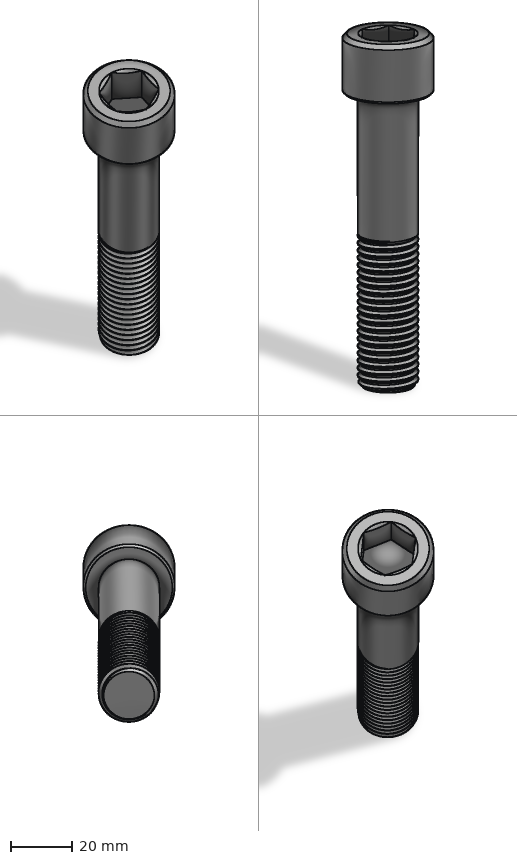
import cadquery as cq
import math

NOMINAL_DIAMETER = 20.0
SHANK_LENGTH = 100.0
THREAD_LENGTH = 52.0
PITCH = 2.5
POINT_CHAMFER = 1.7

HEAD_DIAMETER = 1.5 * NOMINAL_DIAMETER
HEAD_HEIGHT = NOMINAL_DIAMETER
HEAD_TOP_CHAMFER = 1.5
HEAD_BOTTOM_CHAMFER = 0.8

SOCKET_ACROSS_FLATS = 17.0
SOCKET_DEPTH = 13.0
SOCKET_LEAD_IN_ANGLE = 30.0

THREAD_ANGLE = 60.0
THREAD_DEPTH = 5 / 8 * PITCH * math.cos(math.radians(THREAD_ANGLE / 2))
ROOT_FLAT = PITCH / 4
GROOVE_OVERHANG = 0.2

shank_radius = NOMINAL_DIAMETER / 2
root_radius = shank_radius - THREAD_DEPTH
point_z = -SHANK_LENGTH
thread_top_z = point_z + THREAD_LENGTH


def revolve_about_z(outline):
    """Revolve a closed (radius, z) outline about Z, with the surface seam on the -X side."""
    solid = cq.Workplane("XZ").polyline(outline).close().revolve(360, (0, 0), (0, 1))
    return solid.rotate((0, 0, 0), (0, 0, 1), 180)


def make_head():
    """Cylindrical head with a large top chamfer and a small bottom one."""
    radius = HEAD_DIAMETER / 2
    return revolve_about_z([
        (0, 0),
        (radius - HEAD_BOTTOM_CHAMFER, 0),
        (radius, HEAD_BOTTOM_CHAMFER),
        (radius, HEAD_HEIGHT - HEAD_TOP_CHAMFER),
        (radius - HEAD_TOP_CHAMFER, HEAD_HEIGHT),
        (0, HEAD_HEIGHT),
    ])


def make_socket():
    """Hexagonal recess with corners on +Y and -Y, and a lead-in cone that ends at the corners."""
    corner_radius = SOCKET_ACROSS_FLATS / 2 / math.cos(math.radians(30))
    hexagon = (
        cq.Workplane("XY", origin=(0, 0, HEAD_HEIGHT))
        .polygon(6, 2 * corner_radius)
        .extrude(-SOCKET_DEPTH)
        .rotate((0, 0, 0), (0, 0, 1), 90)
    )
    cone_depth = corner_radius * math.tan(math.radians(SOCKET_LEAD_IN_ANGLE))
    lead_in = revolve_about_z([
        (0, HEAD_HEIGHT),
        (corner_radius, HEAD_HEIGHT),
        (0, HEAD_HEIGHT - cone_depth),
    ])
    return hexagon.union(lead_in)


def make_plain_shank():
    """Unthreaded shank, tapering at 45 degrees to the root diameter where the thread runs out."""
    return revolve_about_z([
        (0, thread_top_z - THREAD_DEPTH),
        (root_radius, thread_top_z - THREAD_DEPTH),
        (shank_radius, thread_top_z),
        (shank_radius, 0),
        (0, 0),
    ])


def make_helical_solid(profile, start_z, turns):
    """Right-handed coil of a closed (radius, z) profile, starting and ending on the +X side.

    Each side is made of one-turn ruled faces between the helices of neighbouring corners.
    """
    faces = []
    for turn in range(turns):
        turn_z = start_z + turn * PITCH
        helices = [
            cq.Wire.makeHelix(PITCH, PITCH, radius).translate(cq.Vector(0, 0, turn_z + z))
            for radius, z in profile
        ]
        for helix, next_helix in zip(helices, helices[1:] + helices[:1]):
            faces.extend(cq.Face.makeRuledSurface(helix, next_helix).Faces())
    for end_z in (start_z, start_z + turns * PITCH):
        corners = [cq.Vector(radius, 0, end_z + z) for radius, z in profile]
        faces.append(cq.Face.makeFromWires(cq.Wire.makePolygon(corners, close=True)))
    return cq.Workplane(cq.Solid.makeSolid(cq.Shell.makeShell(faces)))


def make_thread():
    """Threaded rod with a chamfered point and a right-handed helical groove along its full length."""
    rod = revolve_about_z([
        (0, point_z),
        (shank_radius - POINT_CHAMFER, point_z),
        (shank_radius, point_z + POINT_CHAMFER),
        (shank_radius, thread_top_z),
        (0, thread_top_z),
    ])
    mouth_radius = shank_radius + GROOVE_OVERHANG
    half_angle = math.radians(THREAD_ANGLE / 2)
    half_root = ROOT_FLAT / 2
    half_mouth = half_root + (mouth_radius - root_radius) * math.tan(half_angle)
    profile = [
        (root_radius, -half_root),
        (mouth_radius, -half_mouth),
        (mouth_radius, half_mouth),
        (root_radius, half_root),
    ]
    extra_turns = 2
    turns = math.ceil(THREAD_LENGTH / PITCH) + extra_turns
    start_z = thread_top_z - PITCH / 2 - (turns - extra_turns) * PITCH
    return rod.cut(make_helical_solid(profile, start_z, turns), clean=False)


shaft = make_thread().union(make_plain_shank(), clean=False)
head = make_head().cut(make_socket())
result = shaft.union(head, clean=False)